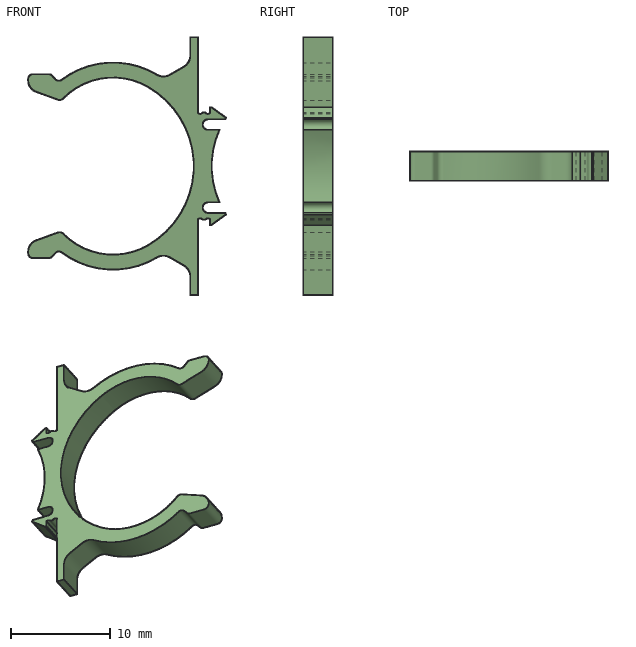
import cadquery as cq
import math

depth = 3.0
half_height = 13.0

arm_center_z = 1.87
arm_inner_radius = 7.05
arm_thickness = 1.53
arm_outer_radius = arm_inner_radius + arm_thickness
blend_angle = math.radians(60)
back_center_x = -arm_center_z / math.tan(blend_angle)
back_radius = arm_inner_radius + arm_center_z / math.sin(blend_angle)

lip_left = -8.58
lip_top = 9.28
lip_flat_end = -6.3
lip_slope = math.tan(math.radians(20))
mouth_x = -5.25
notch_x = -5.5
lip_top_radius = 0.52
lip_bottom_radius = 1.25
lip_shoulder_radius = 0.4
notch_radius = 0.47
mouth_radius = 0.52

flange_back = 8.58
flange_thickness = 0.8
flange_front = flange_back - flange_thickness
web_slope = math.tan(math.radians(30))
web_top = 10.4
web_top_radius = 1.3
web_foot_radius = 1.3

hook_floor = 5.35
hook_face = 9.75
hook_top = 5.95
hook_flat = 0.15
hook_reach = 2.8
hook_tip_x = flange_back + hook_reach
hook_tip_z = 4.9
hook_tip_setback = 0.08
floor_wave = 0.08
floor_wave_count = 3

slot_bottom = 3.67
slot_width = 1.05
slot_top = slot_bottom + slot_width
slot_end = 9.05
slot_radius = slot_width / 2
post_tip = 10.75
post_middle = 9.95


def arm_z(x, radius):
    """Height of an arm arc of the given radius at x."""
    return arm_center_z + math.sqrt(radius**2 - x**2)


def on_arm(angle, radius):
    """Point on an arm arc at an angle from +X."""
    return (radius * math.cos(angle), arm_center_z + radius * math.sin(angle))


def on_back(angle):
    """Point on the back arc at an angle from +X."""
    return (back_center_x + back_radius * math.cos(angle), back_radius * math.sin(angle))


mouth = (mouth_x, arm_z(mouth_x, arm_inner_radius))
lip_bottom_corner = (lip_left, mouth[1] + lip_slope * (mouth_x - lip_left))
lip_top_corner = (lip_left, lip_top)
lip_shoulder = (lip_flat_end, lip_top)
notch = (notch_x, arm_z(notch_x, arm_outer_radius))
web_corner = (flange_front, web_top)

web_offset = web_top - web_slope * flange_front - arm_center_z
root_a = 1 + web_slope**2
root_b = web_slope * web_offset
root_c = web_offset**2 - arm_outer_radius**2
web_foot_x = (-root_b + math.sqrt(root_b**2 - root_a * root_c)) / root_a
web_foot = (web_foot_x, arm_z(web_foot_x, arm_outer_radius))

profile = (
    cq.Workplane("XZ", origin=(0, depth / 2, 0))
    .moveTo(*on_back(0))
    .threePointArc(on_back(blend_angle / 2), on_back(blend_angle))
    .threePointArc(on_arm(math.pi / 2, arm_inner_radius), mouth)
    .lineTo(*lip_bottom_corner)
    .lineTo(*lip_top_corner)
    .lineTo(*lip_shoulder)
    .lineTo(*notch)
    .threePointArc(on_arm(math.pi / 2, arm_outer_radius), web_foot)
    .lineTo(*web_corner)
    .lineTo(flange_front, half_height)
    .lineTo(flange_back, half_height)
    .lineTo(flange_back, hook_floor)
)

wave_length = (hook_face - flange_back) / floor_wave_count
for index in range(floor_wave_count):
    start_x = flange_back + index * wave_length
    offset = floor_wave if index % 2 else -floor_wave
    profile = profile.threePointArc(
        (start_x + wave_length / 2, hook_floor + offset),
        (start_x + wave_length, hook_floor),
    )

post_arc_radius = (slot_bottom**2 + (post_tip - post_middle) ** 2) / (2 * (post_tip - post_middle))
post_arc_center = post_middle + post_arc_radius
half_angle = math.asin(slot_bottom / post_arc_radius) / 2
post_arc_mid = (
    post_arc_center - post_arc_radius * math.cos(half_angle),
    post_arc_radius * math.sin(half_angle),
)

profile = (
    profile.lineTo(hook_face, hook_top)
    .lineTo(hook_face + hook_flat, hook_top)
    .lineTo(hook_tip_x, hook_tip_z)
    .lineTo(hook_tip_x - hook_tip_setback, slot_top)
    .lineTo(slot_end + slot_radius, slot_top)
    .threePointArc((slot_end, slot_bottom + slot_radius), (slot_end + slot_radius, slot_bottom))
    .lineTo(post_tip, slot_bottom)
    .threePointArc(post_arc_mid, (post_middle, 0))
    .close()
)
half = profile.extrude(depth)


def round_corner(body, corner, radius):
    """Round the edge running along Y through a profile corner."""
    x, z = corner
    return body.edges(cq.NearestToPointSelector((x, 0, z))).fillet(radius)


for corner, radius in (
    (lip_top_corner, lip_top_radius),
    (lip_bottom_corner, lip_bottom_radius),
    (lip_shoulder, lip_shoulder_radius),
    (notch, notch_radius),
    (mouth, mouth_radius),
    (web_foot, web_foot_radius),
    (web_corner, web_top_radius),
):
    half = round_corner(half, corner, radius)

result = half.union(half.mirror("XY"))